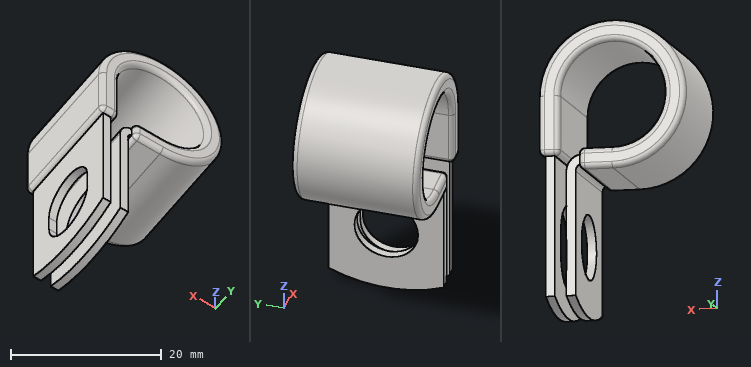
import cadquery as cq
import math

strap_thickness = 1.25
strap_width = 15.9
cover = 0.75
loop_outer_radius = 9.94
total_height = 38.45
straight_end_z = -8.0
hook_end_x = 4.5
bent_leg_outer_x = 6.35
bend_inner_radius = 1.0
hole_diameter = 8.73
hole_z = -19.05
slot_travel = 2.55
tip_sag = 1.6

cushion_thickness = strap_thickness + 2 * cover
cushion_width = strap_width + 2 * cover
loop_inner_radius = loop_outer_radius - cushion_thickness
strap_outer_radius = loop_outer_radius - cover
strap_inner_radius = strap_outer_radius - strap_thickness
bottom_z = loop_outer_radius - total_height
bent_leg_inner_x = bent_leg_outer_x - strap_thickness
bend_outer_radius = bend_inner_radius + strap_thickness
bend_x = bent_leg_outer_x - bend_outer_radius
bend_z = -strap_inner_radius - bend_outer_radius
diagonal = math.sqrt(0.5)


def extrude_centred(profile, width):
    """Extrude a closed XZ profile symmetrically about Y = 0."""
    return profile.close().extrude(width / 2, both=True)


def make_cushion():
    """Three-quarter loop with two straight ends and rounded edges."""
    outer = loop_outer_radius
    inner = loop_inner_radius
    profile = (
        cq.Workplane("XZ")
        .moveTo(outer, straight_end_z)
        .lineTo(outer, 0)
        .threePointArc((-outer * diagonal, outer * diagonal), (0, -outer))
        .lineTo(hook_end_x, -outer)
        .lineTo(hook_end_x, -inner)
        .lineTo(0, -inner)
        .threePointArc((-inner * diagonal, inner * diagonal), (inner, 0))
        .lineTo(inner, straight_end_z)
    )
    body = extrude_centred(profile, cushion_width)
    end_centre = (outer + inner) / 2
    straight_end = cq.selectors.NearestToPointSelector((end_centre, 0, straight_end_z))
    hook_end = cq.selectors.NearestToPointSelector((hook_end_x, 0, -end_centre))
    rims = body.faces("|Y").edges()
    ends = body.faces(straight_end).edges().add(body.faces(hook_end).edges())
    return body.newObject(rims.add(ends).vals()).fillet(cover)


def make_straight_leg():
    """Strap leg running down from the side of the loop."""
    profile = (
        cq.Workplane("XZ")
        .moveTo(strap_inner_radius, 0)
        .lineTo(strap_outer_radius, 0)
        .lineTo(strap_outer_radius, bottom_z)
        .lineTo(strap_inner_radius, bottom_z)
    )
    return extrude_centred(profile, strap_width)


def make_bent_leg():
    """Strap leaving the hook end and bending down beside the straight leg."""
    outer_mid = (bend_x + bend_outer_radius * diagonal, bend_z + bend_outer_radius * diagonal)
    inner_mid = (bend_x + bend_inner_radius * diagonal, bend_z + bend_inner_radius * diagonal)
    profile = (
        cq.Workplane("XZ")
        .moveTo(0, -strap_inner_radius)
        .lineTo(bend_x, -strap_inner_radius)
        .threePointArc(outer_mid, (bent_leg_outer_x, bend_z))
        .lineTo(bent_leg_outer_x, bottom_z)
        .lineTo(bent_leg_inner_x, bottom_z)
        .lineTo(bent_leg_inner_x, bend_z)
        .threePointArc(inner_mid, (bend_x, -strap_outer_radius))
        .lineTo(0, -strap_outer_radius)
    )
    return extrude_centred(profile, strap_width)


def make_tongue():
    """Prism along X that gives the legs their arc-shaped tip."""
    half_width = strap_width / 2
    return (
        cq.Workplane("YZ")
        .moveTo(-half_width, 0)
        .lineTo(-half_width, bottom_z + tip_sag)
        .threePointArc((0, bottom_z), (half_width, bottom_z + tip_sag))
        .lineTo(half_width, 0)
        .close()
        .extrude(loop_outer_radius)
    )


def make_round_hole():
    """Cutter for the bolt hole in the bent leg."""
    return (
        cq.Workplane("YZ")
        .center(0, hole_z)
        .circle(hole_diameter / 2)
        .extrude(bent_leg_outer_x)
    )


def make_slot():
    """Cutter for the upright bolt slot in the straight leg."""
    return (
        cq.Workplane("YZ", origin=(bent_leg_outer_x, 0, hole_z))
        .slot2D(hole_diameter + slot_travel, hole_diameter, 90)
        .extrude(loop_outer_radius - bent_leg_outer_x)
    )


straight_leg = make_straight_leg().intersect(make_tongue()).cut(make_slot())
bent_leg = make_bent_leg().intersect(make_tongue()).cut(make_round_hole())
result = make_cushion().union(straight_leg).union(bent_leg)